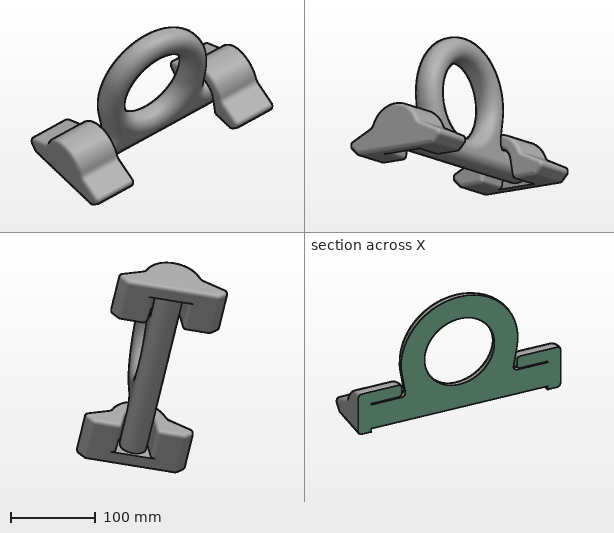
import cadquery as cq
import math

OVERALL_LENGTH = 263.0
FOOT_LENGTH = 57.0
BASE_HALF_WIDTH = 55.0
TIP_HALF_WIDTH = 65.0
FLANK_ANGLE = 45.0
TIP_TOP_Z = 16.0
WING_ANGLE = 25.0
DOME_RADIUS = 35.0
DOME_CENTER_Z = 21.0
WING_BLEND = 10.0
FOOT_ROUNDING = 5.0

SLOT_RADIUS = 18.0
SLOT_FLARE = 10.0

EYE_THICKNESS = 32.0
EYE_ROUNDING = 15.0
RING_OUTER_RADIUS = 76.0
RING_INNER_RADIUS = 45.0
RING_CENTER_Z = 82.0
BAR_BOTTOM_Z = 4.5
BAR_TOP_Z = 38.1
NECK_ANGLE = 10.0
NECK_BLEND = 5.0

SLOT_DEPTH = FOOT_LENGTH - (DOME_RADIUS - SLOT_RADIUS)
BAR_END_Y = OVERALL_LENGTH / 2 - FOOT_LENGTH + SLOT_DEPTH


def tangent(degrees):
    return math.tan(math.radians(degrees))


def make_foot_block():
    """The foot at the +Y end without its slot and rounding, its underside on Z = 0."""
    outer_end = cq.Workplane("XZ", origin=(0, OVERALL_LENGTH / 2, 0))
    tip_bottom_z = (TIP_HALF_WIDTH - BASE_HALF_WIDTH) * tangent(FLANK_ANGLE)
    ridge_z = TIP_TOP_Z + TIP_HALF_WIDTH * tangent(WING_ANGLE)
    wings = (
        outer_end
        .polyline([
            (-BASE_HALF_WIDTH, 0),
            (BASE_HALF_WIDTH, 0),
            (TIP_HALF_WIDTH, tip_bottom_z),
            (TIP_HALF_WIDTH, TIP_TOP_Z),
            (0, ridge_z),
            (-TIP_HALF_WIDTH, TIP_TOP_Z),
            (-TIP_HALF_WIDTH, tip_bottom_z),
        ])
        .close()
        .extrude(FOOT_LENGTH)
    )
    dome = (
        outer_end
        .moveTo(-DOME_RADIUS, DOME_CENTER_Z)
        .threePointArc((0, DOME_CENTER_Z + DOME_RADIUS), (DOME_RADIUS, DOME_CENTER_Z))
        .close()
        .extrude(FOOT_LENGTH)
    )
    block = wings.union(dome).clean()

    blend_zone = cq.selectors.BoxSelector(
        (-DOME_RADIUS, 0, TIP_TOP_Z + 2.5), (DOME_RADIUS, OVERALL_LENGTH, ridge_z)
    )
    return block.edges("|Y").edges(blend_zone).fillet(WING_BLEND)


def make_slot():
    """The arched space cut into the inner end of the +Y foot."""
    flare = math.radians(SLOT_FLARE)
    spring_x = SLOT_RADIUS * math.cos(flare)
    spring_z = DOME_CENTER_Z + SLOT_RADIUS * math.sin(flare)
    mouth_x = spring_x + spring_z * math.tan(flare)
    return (
        cq.Workplane("XZ", origin=(0, BAR_END_Y, 0))
        .moveTo(-mouth_x, 0)
        .lineTo(-spring_x, spring_z)
        .threePointArc((0, DOME_CENTER_Z + SLOT_RADIUS), (spring_x, spring_z))
        .lineTo(mouth_x, 0)
        .close()
        .extrude(SLOT_DEPTH)
    )


def make_foot():
    """The finished foot at the +Y end."""
    block = make_foot_block()

    reach = TIP_HALF_WIDTH + 2.5
    long_edge_zone = cq.selectors.BoxSelector(
        (-reach, 0, -2.5), (reach, OVERALL_LENGTH, TIP_TOP_Z + 2.5)
    )
    slotted = block.cut(make_slot())
    long_edges = slotted.edges("|Y").edges(long_edge_zone)
    return slotted.faces("<Y or >Y").edges().add(long_edges).fillet(FOOT_ROUNDING)


def make_eye():
    """The ring, its neck and the bar, as one rounded plate in the YZ plane."""
    neck = math.radians(NECK_ANGLE)
    tangent_y = RING_OUTER_RADIUS * math.cos(neck)
    tangent_z = RING_CENTER_Z - RING_OUTER_RADIUS * math.sin(neck)
    neck_foot_y = tangent_y - (tangent_z - BAR_TOP_Z) * math.tan(neck)

    plate = (
        cq.Workplane("YZ")
        .moveTo(-BAR_END_Y, BAR_BOTTOM_Z)
        .lineTo(BAR_END_Y, BAR_BOTTOM_Z)
        .lineTo(BAR_END_Y, BAR_TOP_Z)
        .lineTo(neck_foot_y, BAR_TOP_Z)
        .lineTo(tangent_y, tangent_z)
        .threePointArc((0, RING_CENTER_Z + RING_OUTER_RADIUS), (-tangent_y, tangent_z))
        .lineTo(-neck_foot_y, BAR_TOP_Z)
        .lineTo(-BAR_END_Y, BAR_TOP_Z)
        .close()
        .extrude(EYE_THICKNESS / 2, both=True)
    )
    for side in (-1, 1):
        neck_corner = cq.selectors.NearestToPointSelector((0, side * neck_foot_y, BAR_TOP_Z))
        plate = plate.edges("|X").edges(neck_corner).fillet(NECK_BLEND)

    hole = (
        cq.Workplane("YZ")
        .center(0, RING_CENTER_Z)
        .circle(RING_INNER_RADIUS)
        .extrude(EYE_THICKNESS / 2, both=True)
    )
    return plate.cut(hole).faces("<X or >X").edges("not |Z").fillet(EYE_ROUNDING)


foot = make_foot()
result = make_eye().union(foot).union(foot.mirror("XZ"))